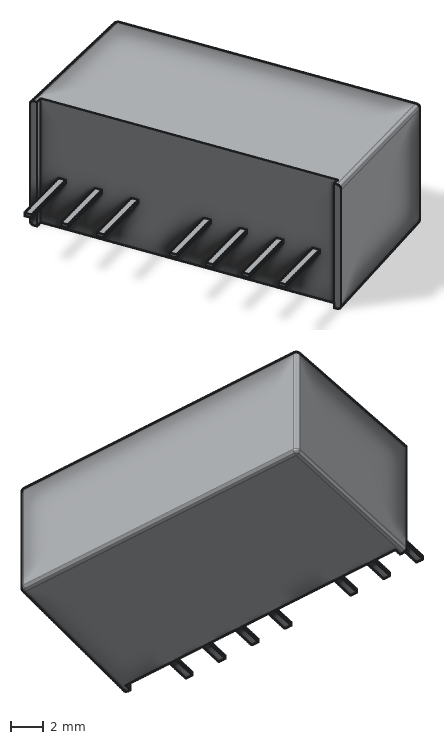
import cadquery as cq
import math

case_length = 21.8
case_width = 9.1
overall_height = 15.3
case_height = 11.2
draft_angle = 1.0
edge_radius = 0.3

foot_length = 0.5
recess_depth = 0.5

pin_pitch = 2.54
pin_positions = 8
empty_position = 3
pin_width = 0.5
pin_thickness = 0.25
pin_row_z = -1.05

case_bottom = overall_height / 2 - case_height
recess_floor = case_bottom + recess_depth
pin_tip = -overall_height / 2


def make_case():
    """Drafted block, narrowing toward +Y, with all edges but the -Y rim rounded."""
    inset = case_height * math.tan(math.radians(draft_angle))
    open_side = cq.Workplane("XZ", origin=(0, case_bottom, 0))
    block = (
        open_side.rect(case_length, case_width)
        .workplane(offset=-case_height)
        .rect(case_length - 2 * inset, case_width - 2 * inset)
        .loft(ruled=True)
    )
    return block.faces(">Y or <X or >X").edges("not <Y").fillet(edge_radius)


def make_recess():
    """Cutter that runs across the full width between the two end feet."""
    return cq.Workplane("XY").box(
        case_length - 2 * foot_length, recess_depth, case_width, centered=(True, False, True)
    ).translate((0, case_bottom, 0))


def make_pin(x):
    """Flat pin standing on the recess floor and pointing toward -Y."""
    return cq.Workplane("XY").box(
        pin_width, recess_floor - pin_tip, pin_thickness, centered=(True, False, True)
    ).translate((x, pin_tip, pin_row_z))


result = make_case().cut(make_recess())
for position in range(pin_positions):
    if position != empty_position:
        result = result.union(make_pin((position - (pin_positions - 1) / 2) * pin_pitch))